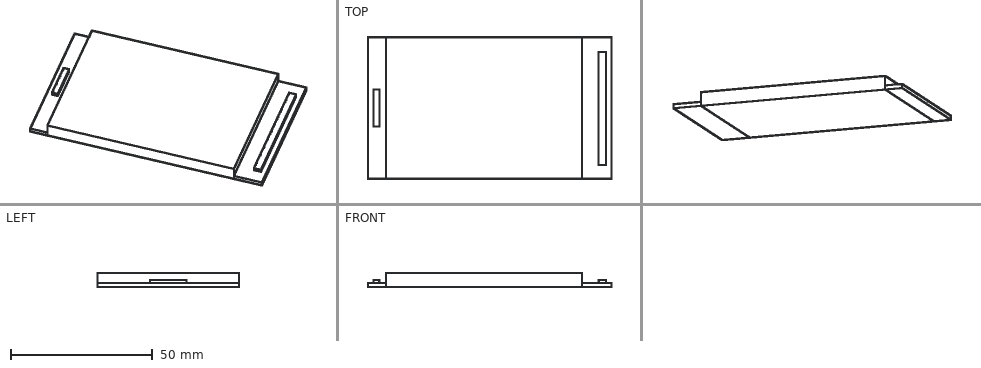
import cadquery as cq

total_length = 86.0
width = 50.0
block_height = 5.0

board_thickness = 1.5
left_board_length = 6.4
right_board_length = 10.4

strip_height = 1.0
strip_edge_margin = 2.0
left_strip_width = 2.1
left_strip_length = 13.0
left_strip_y = 0.0
right_strip_width = 2.6
right_strip_length = 39.7
right_strip_y = -0.2

left_end = -total_length / 2
right_end = total_length / 2
block_start = left_end + left_board_length
block_end = right_end - right_board_length
left_strip_start = left_end + strip_edge_margin
right_strip_start = right_end - strip_edge_margin - right_strip_width


def make_box(x_start, x_size, y_centre, y_size, z_start, z_size):
    """Box that starts at x_start and z_start and is centred on y_centre."""
    return (
        cq.Workplane("XY")
        .box(x_size, y_size, z_size, centered=(False, True, False))
        .translate((x_start, y_centre, z_start))
    )


def make_board(board_start, board_length, strip_start, strip_width, strip_y, strip_length):
    """Full-width end board with its raised strip, as one solid."""
    board = make_box(board_start, board_length, 0, width, 0, board_thickness)
    strip = make_box(strip_start, strip_width, strip_y, strip_length, board_thickness, strip_height)
    return board.union(strip)


block = make_box(block_start, block_end - block_start, 0, width, 0, block_height)

left_board = make_board(
    left_end, left_board_length, left_strip_start, left_strip_width, left_strip_y, left_strip_length
)

right_board = make_board(
    block_end, right_board_length, right_strip_start, right_strip_width, right_strip_y, right_strip_length
)

result = cq.Compound.makeCompound([block.val(), left_board.val(), right_board.val()])